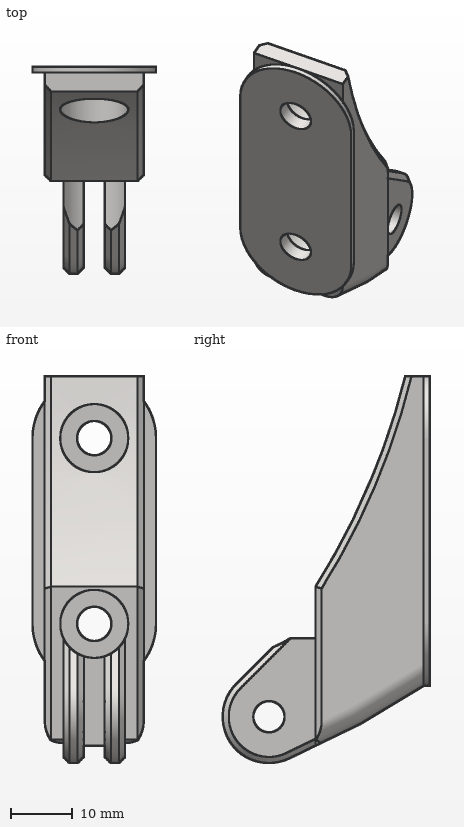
import cadquery as cq
import math


PLATE_RADIUS = 10.0
PLATE_THICKNESS = 1.0
PLATE_BOTTOM = 12.5
TOTAL_HEIGHT = 62.5
LOWER_HOLE_HEIGHT = PLATE_BOTTOM + PLATE_RADIUS
UPPER_HOLE_HEIGHT = TOTAL_HEIGHT - PLATE_RADIUS

BODY_WIDTH = 16.0
HALF_WIDTH = BODY_WIDTH / 2
EDGE_CHAMFER = 1.0
TOP_REACH = 4.0
FRONT_REACH = 18.5
CURVE_REACH = 10.05
CURVE_HEIGHT = 44.5
SHOULDER_HEIGHT = 28.5
BEND_REACH = 11.25
BEND_HEIGHT = 6.3
CORNER_RADIUS = 3.0

SCREW_DIAMETER = 5.5
COUNTERBORE_DIAMETER = 11.0
COUNTERBORE_FLOOR = 2.5

LUG_RADIUS = 7.5
LUG_REACH = 26.0
LUG_HEIGHT = LUG_RADIUS
LUG_WIDTH = 10.0
LUG_ROOT_DEPTH = 2 * EDGE_CHAMFER
SLOT_WIDTH = 3.4
FINGER_WIDTH = (LUG_WIDTH - SLOT_WIDTH) / 2
PIN_DIAMETER = 5.0
LUG_TOP_ANGLE = math.radians(45)

bend_distance = math.hypot(LUG_REACH - BEND_REACH, LUG_HEIGHT - BEND_HEIGHT)
bend_direction = math.atan2(BEND_HEIGHT - LUG_HEIGHT, BEND_REACH - LUG_REACH)
tangent_angle = bend_direction + math.acos(LUG_RADIUS / bend_distance)
underside_slope = -1 / math.tan(tangent_angle)


def lug_point(angle):
    """Reach and height of a point on the lug's round end."""
    return (
        LUG_REACH + LUG_RADIUS * math.cos(angle),
        LUG_HEIGHT + LUG_RADIUS * math.sin(angle),
    )


def underside_height(reach):
    """Height of the two-slope underside on the centre plane."""
    if reach <= BEND_REACH:
        travelled = (reach - PLATE_THICKNESS) / (BEND_REACH - PLATE_THICKNESS)
        return PLATE_BOTTOM + travelled * (BEND_HEIGHT - PLATE_BOTTOM)
    return BEND_HEIGHT + underside_slope * (reach - BEND_REACH)


def side_plane(x):
    """Sketch plane whose local axes are reach and height, extruding toward -X."""
    return cq.Workplane(cq.Plane(origin=(x, 0, 0), xDir=(0, -1, 0), normal=(-1, 0, 0)))


def cross_plane(reach):
    """Sketch plane whose local axes are X and Z, extruding toward -Y."""
    return cq.Workplane("XZ", origin=(0, -reach, 0))


def make_plate():
    height = TOTAL_HEIGHT - PLATE_BOTTOM
    return (
        cross_plane(0)
        .center(0, PLATE_BOTTOM + height / 2)
        .slot2D(height, 2 * PLATE_RADIUS, 90)
        .extrude(PLATE_THICKNESS)
    )


def body_block():
    """Body with sharp edges, between its side outlines."""
    return (
        side_plane(HALF_WIDTH)
        .moveTo(PLATE_THICKNESS, PLATE_BOTTOM)
        .lineTo(BEND_REACH, BEND_HEIGHT)
        .lineTo(FRONT_REACH, underside_height(FRONT_REACH))
        .lineTo(FRONT_REACH, SHOULDER_HEIGHT)
        .threePointArc((CURVE_REACH, CURVE_HEIGHT), (TOP_REACH, TOTAL_HEIGHT))
        .lineTo(PLATE_THICKNESS, TOTAL_HEIGHT)
        .close()
        .extrude(BODY_WIDTH)
    )


def make_body():
    block = body_block()

    middle_of_sweep = cq.selectors.NearestToPointSelector((0, -CURVE_REACH, CURVE_HEIGHT))
    sweep_sides = block.faces(middle_of_sweep).edges("not |X")
    front_rim = block.faces("<Y").edges("not >Z")
    chamfered = block.newObject(sweep_sides.vals() + front_rim.vals()).chamfer(EDGE_CHAMFER)

    underside_corners = []
    for start, end in ((PLATE_THICKNESS, BEND_REACH), (BEND_REACH, FRONT_REACH)):
        middle = (start + end) / 2
        for x in (-HALF_WIDTH, HALF_WIDTH):
            point = (x, -middle, underside_height(middle))
            corner = block.edges(cq.selectors.NearestToPointSelector(point))
            underside_corners.append(corner.val())
    rounded = block.newObject(underside_corners).fillet(CORNER_RADIUS)
    return chamfered.intersect(rounded)


def lug_outline(x):
    """Lug profile from the body's front face, around the pin and back."""
    upper = lug_point(LUG_TOP_ANGLE)
    face_height = upper[1] + (upper[0] - FRONT_REACH) / math.tan(LUG_TOP_ANGLE)
    return (
        side_plane(x)
        .moveTo(FRONT_REACH, face_height)
        .lineTo(*upper)
        .threePointArc(lug_point(0), lug_point(tangent_angle))
        .lineTo(FRONT_REACH, underside_height(FRONT_REACH))
        .close()
    )


def make_finger(side):
    outer_x = side * (SLOT_WIDTH + FINGER_WIDTH) / 2 + FINGER_WIDTH / 2
    finger = lug_outline(outer_x).extrude(FINGER_WIDTH)
    rims = finger.faces("<X or >X").edges("not |Z")
    return rims.chamfer(EDGE_CHAMFER)


def make_lug_root():
    """Fill the body's bottom chamfer across the width of the fork."""
    back = FRONT_REACH - LUG_ROOT_DEPTH
    return (
        side_plane(LUG_WIDTH / 2)
        .moveTo(back, LOWER_HOLE_HEIGHT)
        .lineTo(FRONT_REACH, LOWER_HOLE_HEIGHT)
        .lineTo(FRONT_REACH, underside_height(FRONT_REACH))
        .lineTo(back, underside_height(back))
        .close()
        .extrude(LUG_WIDTH)
    )


result = make_plate().union(make_body()).union(make_lug_root())
for side in (-1, 1):
    result = result.union(make_finger(side))

for height in (LOWER_HOLE_HEIGHT, UPPER_HOLE_HEIGHT):
    screw = cross_plane(0).center(0, height).circle(SCREW_DIAMETER / 2).extrude(FRONT_REACH)
    counterbore = (
        cross_plane(COUNTERBORE_FLOOR)
        .center(0, height)
        .circle(COUNTERBORE_DIAMETER / 2)
        .extrude(LUG_REACH + LUG_RADIUS)
    )
    result = result.cut(screw).cut(counterbore)

pin = (
    side_plane(LUG_WIDTH / 2)
    .center(LUG_REACH, LUG_HEIGHT)
    .circle(PIN_DIAMETER / 2)
    .extrude(LUG_WIDTH)
)
result = result.cut(pin)